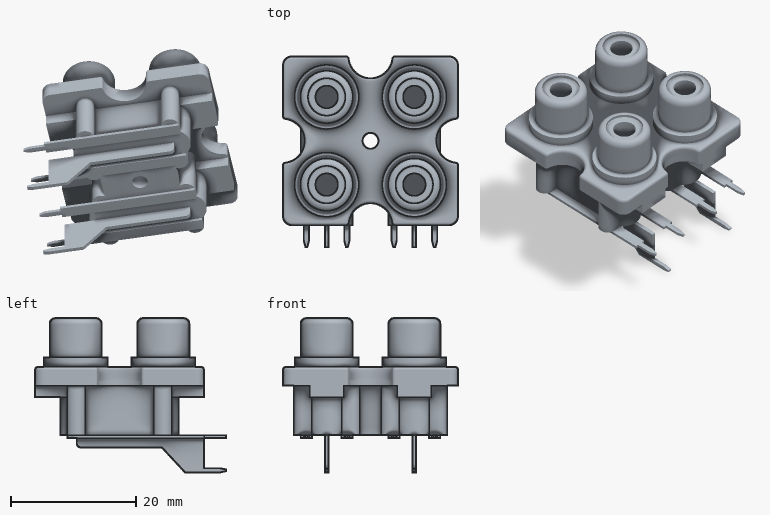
import cadquery as cq


SOCKET_PITCH = 14.0
SOCKET_OFFSET = SOCKET_PITCH / 2
SLEEVE_RADIUS = 4.18
SLEEVE_INNER_RADIUS = 3.0
SLEEVE_ROUNDING = 1.0
SLEEVE_TOP = 18.7
FLANGE_RADIUS = 5.12
FLANGE_HEIGHT = 1.52
CORE_RECESS = 0.5
BORE_RADIUS = 1.8

PLATE_WIDTH = 28.0
PLATE_DEPTH = 27.0
PLATE_BOTTOM = 7.9
PLATE_THICKNESS = 3.0
PLATE_TOP = PLATE_BOTTOM + PLATE_THICKNESS
PLATE_CORNER_RADIUS = 1.5
PLATE_EDGE_ROUNDING = 0.5
NOTCH_RADIUS = 3.5
CENTRE_HOLE_RADIUS = 1.25

RAIL_WIDTH = 5.4
RAIL_HEIGHT = 1.85

BAR_LENGTH = 10.55
BAR_WIDTH = 2.87
BAR_OFFSET = 6.9
BAR_FACE = BAR_OFFSET + BAR_WIDTH / 2
BULGE_HALF_WIDTH = 2.38
BULGE_REACH = 9.5
BLOCK_WIDTH = SOCKET_PITCH + RAIL_WIDTH
BLOCK_DEPTH = 12.2

TERMINAL_REACH = 3.5
TIP_LENGTH = 1.0
TIP_WIDTH = 0.3
PLATE_FRONT = -PLATE_DEPTH / 2
TERMINAL_END = PLATE_FRONT - TERMINAL_REACH
TIP_START = TERMINAL_END + TIP_LENGTH
STRIP_WIDTH = 1.85
STRIP_THICKNESS = 0.5
STRIP_SPREAD = 3.23
STRIP_PIN_WIDTH = 0.85
BLADE_THICKNESS = 0.6
BLADE_BACK = 6.85
BLADE_BACK_ROUNDING = 0.73
BLADE_WEB_HEIGHT = 2.0
BLADE_HEIGHT = 6.0
BLADE_SLOPE_START = -6.77
BLADE_SLOPE_END = -10.5
BLADE_PIN_HEIGHT = 0.73

COLUMNS = [-SOCKET_OFFSET, SOCKET_OFFSET]
SOCKET_CENTRES = [(x, y) for x in COLUMNS for y in COLUMNS]


def cylinders(centres, radius, bottom, top):
    """Upright cylinders at the given centres."""
    circles = cq.Workplane("XY", origin=(0, 0, bottom)).pushPoints(centres).circle(radius)
    return circles.extrude(top - bottom)


def make_plate():
    """Square plate with a round notch in the middle of each side and a rounded top edge."""
    plate = cq.Workplane("XY", origin=(0, 0, PLATE_BOTTOM)).rect(PLATE_WIDTH, PLATE_DEPTH)
    plate = plate.extrude(PLATE_THICKNESS)
    plate = plate.edges("|Z").fillet(PLATE_CORNER_RADIUS)
    half_width = PLATE_WIDTH / 2
    half_depth = PLATE_DEPTH / 2
    notch_centres = [(-half_width, 0), (half_width, 0), (0, -half_depth), (0, half_depth)]
    plate = plate.cut(cylinders(notch_centres, NOTCH_RADIUS, PLATE_BOTTOM, PLATE_TOP))
    reach = NOTCH_RADIUS + PLATE_EDGE_ROUNDING
    for x, y in notch_centres:
        low = (x - reach, y - reach, PLATE_BOTTOM)
        high = (x + reach, y + reach, PLATE_TOP)
        plate = plate.edges("|Z").edges(cq.selectors.BoxSelector(low, high)).fillet(PLATE_EDGE_ROUNDING)
    return plate.faces(">Z").edges().fillet(PLATE_EDGE_ROUNDING)


def make_bulge(x, side):
    """Shallow round bulge on the outer face of a bar; side is -1 at the front and 1 at the back."""
    bar_middle = side * BAR_OFFSET
    bar_face = side * BAR_FACE
    bulge = (
        cq.Workplane("XY", origin=(x, 0, 0))
        .moveTo(-BULGE_HALF_WIDTH, bar_middle)
        .lineTo(-BULGE_HALF_WIDTH, bar_face)
        .threePointArc((0, side * BULGE_REACH), (BULGE_HALF_WIDTH, bar_face))
        .lineTo(BULGE_HALF_WIDTH, bar_middle)
        .close()
    )
    return bulge.extrude(PLATE_BOTTOM)


def make_base():
    """Base block, its bars and bulges, and the rails that stiffen the plate."""
    base = cq.Workplane("XY").rect(BLOCK_WIDTH, BLOCK_DEPTH).extrude(PLATE_BOTTOM)
    bar_centres = [(x, y) for x in COLUMNS for y in (-BAR_OFFSET, BAR_OFFSET)]
    bars = cq.Workplane("XY").pushPoints(bar_centres).slot2D(BAR_LENGTH, BAR_WIDTH)
    base = base.union(bars.extrude(PLATE_BOTTOM))
    for x in COLUMNS:
        base = base.union(make_bulge(x, -1)).union(make_bulge(x, 1))
    rails = cq.Workplane("XY", origin=(0, 0, PLATE_BOTTOM - RAIL_HEIGHT))
    rails = rails.pushPoints([(x, 0) for x in COLUMNS]).rect(RAIL_WIDTH, PLATE_DEPTH).extrude(RAIL_HEIGHT)
    return base.union(rails)


def make_strip(x):
    """Flat terminal lying under the base, with a narrow pointed pin at the front."""
    half_width = STRIP_WIDTH / 2
    half_pin = STRIP_PIN_WIDTH / 2
    half_tip = TIP_WIDTH / 2
    right_side = [
        (half_width, BAR_FACE),
        (half_width, PLATE_FRONT),
        (half_pin, PLATE_FRONT),
        (half_pin, TIP_START),
        (half_tip, TERMINAL_END),
    ]
    left_side = [(-across, y) for across, y in reversed(right_side)]
    outline = cq.Workplane("XY", origin=(x, 0, 0)).polyline(right_side + left_side).close()
    return outline.extrude(-STRIP_THICKNESS)


def make_blade(x):
    """Upright terminal below a column of sockets, stepping down to a pointed pin at the front."""
    pin_top = BLADE_PIN_HEIGHT - BLADE_HEIGHT
    pin_middle = BLADE_PIN_HEIGHT / 2 - BLADE_HEIGHT
    outline = [
        (BLADE_BACK, 0),
        (BLADE_BACK, -BLADE_WEB_HEIGHT),
        (BLADE_SLOPE_START, -BLADE_WEB_HEIGHT),
        (BLADE_SLOPE_END, -BLADE_HEIGHT),
        (TIP_START, -BLADE_HEIGHT),
        (TERMINAL_END, pin_middle - TIP_WIDTH / 2),
        (TERMINAL_END, pin_middle + TIP_WIDTH / 2),
        (TIP_START, pin_top),
        (PLATE_FRONT, pin_top),
        (PLATE_FRONT, 0),
    ]
    blade = cq.Workplane("YZ", origin=(x, 0, 0)).polyline(outline).close()
    blade = blade.extrude(BLADE_THICKNESS / 2, both=True)
    back_corner = cq.selectors.NearestToPointSelector((x, BLADE_BACK, -BLADE_WEB_HEIGHT))
    return blade.edges("|X").edges(back_corner).fillet(BLADE_BACK_ROUNDING)


def make_housing():
    """Plate, base, socket cores and the terminals fixed to the base, as one solid."""
    core_top = SLEEVE_TOP - CORE_RECESS
    housing = make_plate().union(make_base())
    housing = housing.cut(cylinders([(0, 0)], CENTRE_HOLE_RADIUS, 0, PLATE_TOP))
    housing = housing.union(cylinders(SOCKET_CENTRES, SLEEVE_INNER_RADIUS, PLATE_BOTTOM, core_top))
    housing = housing.cut(cylinders(SOCKET_CENTRES, BORE_RADIUS, PLATE_TOP, core_top))
    for x in COLUMNS:
        housing = housing.union(make_strip(x - STRIP_SPREAD))
        housing = housing.union(make_strip(x + STRIP_SPREAD))
        housing = housing.union(make_blade(x))
    return housing


def make_sleeve(centre):
    """Flanged contact sleeve that stands on the plate around a socket core."""
    sleeve = cylinders([centre], SLEEVE_RADIUS, PLATE_TOP, SLEEVE_TOP)
    sleeve = sleeve.faces(">Z").edges().fillet(SLEEVE_ROUNDING)
    sleeve = sleeve.union(cylinders([centre], FLANGE_RADIUS, PLATE_TOP, PLATE_TOP + FLANGE_HEIGHT))
    return sleeve.cut(cylinders([centre], SLEEVE_INNER_RADIUS, PLATE_TOP, SLEEVE_TOP))


housing = make_housing()
sleeves = [make_sleeve(centre) for centre in SOCKET_CENTRES]

result = cq.Compound.makeCompound([housing.val(), *[sleeve.val() for sleeve in sleeves]])